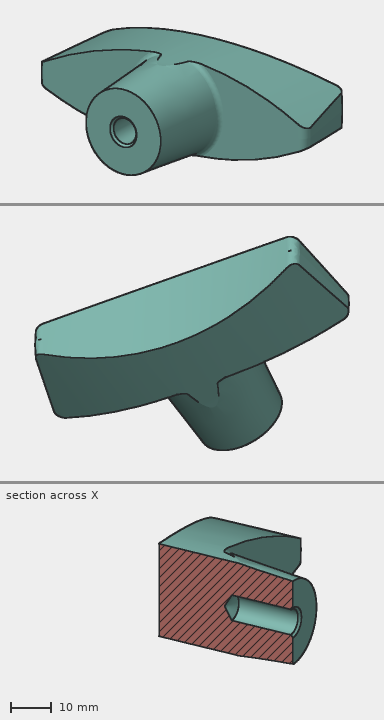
import cadquery as cq
import math

length = 80.0
total_depth = 44.0
thickness = 25.0
crown_radius = 84.8

corner_radius = 2.0
wing_low_y = 20.95
saddle_y = 38.55
end_tilt = math.radians(11.8)
end_draft = 2.0
underside_tilt = math.radians(3.8)

foot_radius = 11.2
stem_top_radius = 13.1
stem_top_y = 22.8
stem_embed = 4.0
neck_fillet = 1.2

hole_radius = 3.35
hole_depth = 17.6
hole_chamfer = 0.6
drill_half_angle = math.radians(59)

blank_height = thickness

low_center = (length / 2 - corner_radius, wing_low_y + corner_radius)
high_y = total_depth - corner_radius
high_center = (low_center[0] - (high_y - low_center[1]) * math.tan(end_tilt), high_y)


def on_corner(center, angle):
    """Point on a rounded corner, at an angle measured from +X."""
    return (
        center[0] + corner_radius * math.cos(angle),
        center[1] + corner_radius * math.sin(angle),
    )


def grip_half():
    """Upper half of the grip: concave back, straight underside and drafted, tilted ends."""
    slab_x = 0.6 * length
    rise = high_center[1] - saddle_y
    back_radius = (high_center[0] ** 2 + rise**2 - corner_radius**2) / (2 * (rise + corner_radius))
    back_y = saddle_y + back_radius - math.sqrt(back_radius**2 - slab_x**2)

    low_x, low_y = on_corner(low_center, -math.pi / 2 - underside_tilt)
    peak_y = low_y + low_x * math.tan(underside_tilt)
    low_end_y = peak_y - slab_x * math.tan(underside_tilt)
    slab = (
        cq.Workplane("XY")
        .moveTo(0, peak_y)
        .lineTo(slab_x, low_end_y)
        .lineTo(slab_x, back_y)
        .threePointArc((0, saddle_y), (-slab_x, back_y))
        .lineTo(-slab_x, low_end_y)
        .close()
        .extrude(blank_height)
    )

    end_x, end_y = on_corner(low_center, end_tilt)
    wide_x = end_x + end_y * math.tan(end_tilt)
    narrow_y = 2 * total_depth
    narrow_x = wide_x - narrow_y * math.tan(end_tilt)
    ends = (
        cq.Workplane("XY")
        .polyline([(-wide_x, 0), (wide_x, 0), (narrow_x, narrow_y), (-narrow_x, narrow_y)])
        .close()
        .extrude(blank_height, taper=end_draft)
    )
    mid_height = cq.selectors.BoxSelector(
        (-length, 0, 0.4 * blank_height), (length, total_depth * 2, 0.6 * blank_height)
    )
    grip = slab.intersect(ends)
    corner_edges = grip.edges(mid_height)
    return corner_edges.fillet(corner_radius)


def stem():
    """Tapered stem, revolved about Y."""
    taper = (stem_top_radius - foot_radius) / stem_top_y
    end_y = stem_top_y + stem_embed
    end_radius = foot_radius + taper * end_y
    profile = [(0, 0), (foot_radius, 0), (end_radius, end_y), (0, end_y)]
    return cq.Workplane("XY").polyline(profile).close().revolve(360, (0, 0), (0, 1))


def crown_envelope():
    """Lens shape that trims the grip and stem to the curved upper and lower faces."""
    half_length = length / 2
    half_thickness = thickness / 2
    edge_z = half_thickness - crown_radius + math.sqrt(crown_radius**2 - half_length**2)
    return (
        cq.Workplane("XZ")
        .moveTo(-half_length, edge_z)
        .threePointArc((0, half_thickness), (half_length, edge_z))
        .lineTo(half_length, -edge_z)
        .threePointArc((0, -half_thickness), (-half_length, -edge_z))
        .close()
        .extrude(-total_depth)
    )


def blind_hole():
    """Chamfered hole with a conical drill point."""
    tip_y = hole_depth + hole_radius / math.tan(drill_half_angle)
    profile = [
        (0, 0),
        (hole_radius + hole_chamfer, 0),
        (hole_radius, hole_chamfer),
        (hole_radius, hole_depth),
        (0, tip_y),
    ]
    return cq.Workplane("XY").polyline(profile).close().revolve(360, (0, 0), (0, 1))


neck_region = cq.selectors.BoxSelector(
    (-length / 4, stem_top_y - neck_fillet, neck_fillet),
    (length / 4, stem_top_y + neck_fillet, stem_top_radius),
)
upper_half_space = cq.Workplane("XY").box(2 * length, 4 * total_depth, blank_height, centered=(True, True, False))
upper_stem = stem().intersect(upper_half_space)
upper_half = grip_half().union(upper_stem).edges(neck_region).fillet(neck_fillet)
body = upper_half.union(upper_half.mirror("XY"))

result = body.intersect(crown_envelope()).cut(blind_hole())